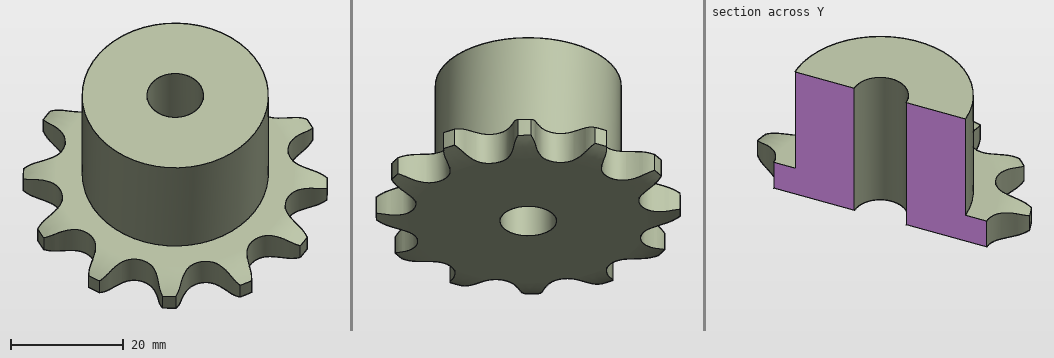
import cadquery as cq
import math

tooth_count = 12
pitch = 12.7
roller_dia = 7.8
seat_dia = 7.85
outer_dia = 53.9
plate_thickness = 6.0
total_height = 28.0
hub_dia = 33.0
bore_dia = 10.0
relief_inset = 5.7
relief_radius = pitch

working_offset_ratio = 0.8
topping_offset_ratio = 1.4
topping_sweep = 45
pitch_radius = pitch / 2 / math.sin(math.pi / tooth_count)
root_radius = pitch_radius - seat_dia / 2
outer_radius = outer_dia / 2
seat_radius = seat_dia / 2
seat_angle = 35 + 60 / tooth_count
working_sweep = 18 - 56 / tooth_count
flank_angle = seat_angle - working_sweep
working_offset = working_offset_ratio * roller_dia
working_radius = working_offset + seat_radius
topping_offset = topping_offset_ratio * roller_dia
topping_direction = 180 / tooth_count


def polar(center, radius, degrees):
    """Point at a distance and direction from a center."""
    angle = math.radians(degrees)
    return (center[0] + radius * math.cos(angle), center[1] + radius * math.sin(angle))


def mirrored(point):
    """Point reflected across the gap's center line (the Y axis)."""
    return (-point[0], point[1])


def tooth_gap():
    """Cutter for one tooth gap, centered on the +Y axis."""
    seat_center = (0, pitch_radius)
    working_center = polar(seat_center, working_offset, seat_angle)
    topping_center = polar(seat_center, topping_offset, 180 + topping_direction)

    seat_end = polar(seat_center, seat_radius, 180 + seat_angle)
    working_middle = polar(working_center, working_radius, 180 + seat_angle - working_sweep / 2)
    working_end = polar(working_center, working_radius, 180 + flank_angle)

    normal = polar((0, 0), 1, flank_angle)
    topping_radius = (
        (working_end[0] - topping_center[0]) * normal[0]
        + (working_end[1] - topping_center[1]) * normal[1]
    )
    flank_end = polar(topping_center, topping_radius, flank_angle)

    topping_middle = polar(topping_center, topping_radius, flank_angle + topping_sweep / 2)
    topping_end = polar(topping_center, topping_radius, flank_angle + topping_sweep)

    return (
        cq.Workplane("XY")
        .moveTo(*topping_end)
        .threePointArc(topping_middle, flank_end)
        .lineTo(*working_end)
        .threePointArc(working_middle, seat_end)
        .threePointArc((0, root_radius), mirrored(seat_end))
        .threePointArc(mirrored(working_middle), mirrored(working_end))
        .lineTo(*mirrored(flank_end))
        .threePointArc(mirrored(topping_middle), mirrored(topping_end))
        .close()
        .extrude(plate_thickness)
    )


def toothed_plate():
    """Disc with rounded side reliefs at its rim and the tooth gaps cut out."""
    face_radius = outer_radius - relief_inset

    def relief_drop(inset):
        return relief_radius - math.sqrt(relief_radius**2 - inset**2)

    middle_radius = face_radius + relief_inset / 2
    middle_drop = relief_drop(relief_inset / 2)
    tip_drop = relief_drop(relief_inset)
    plate = (
        cq.Workplane("XZ")
        .lineTo(face_radius, 0)
        .threePointArc((middle_radius, middle_drop), (outer_radius, tip_drop))
        .lineTo(outer_radius, plate_thickness - tip_drop)
        .threePointArc(
            (middle_radius, plate_thickness - middle_drop),
            (face_radius, plate_thickness),
        )
        .lineTo(0, plate_thickness)
        .close()
        .revolve(360, (0, 0, 0), (0, 1, 0))
    )
    gap = tooth_gap()
    for index in range(tooth_count):
        plate = plate.cut(gap.rotate((0, 0, 0), (0, 0, 1), index * 360 / tooth_count))
    return plate


hub = cq.Workplane("XY").circle(hub_dia / 2).extrude(total_height)
bore = cq.Workplane("XY").circle(bore_dia / 2).extrude(total_height)

result = toothed_plate().union(hub).cut(bore)